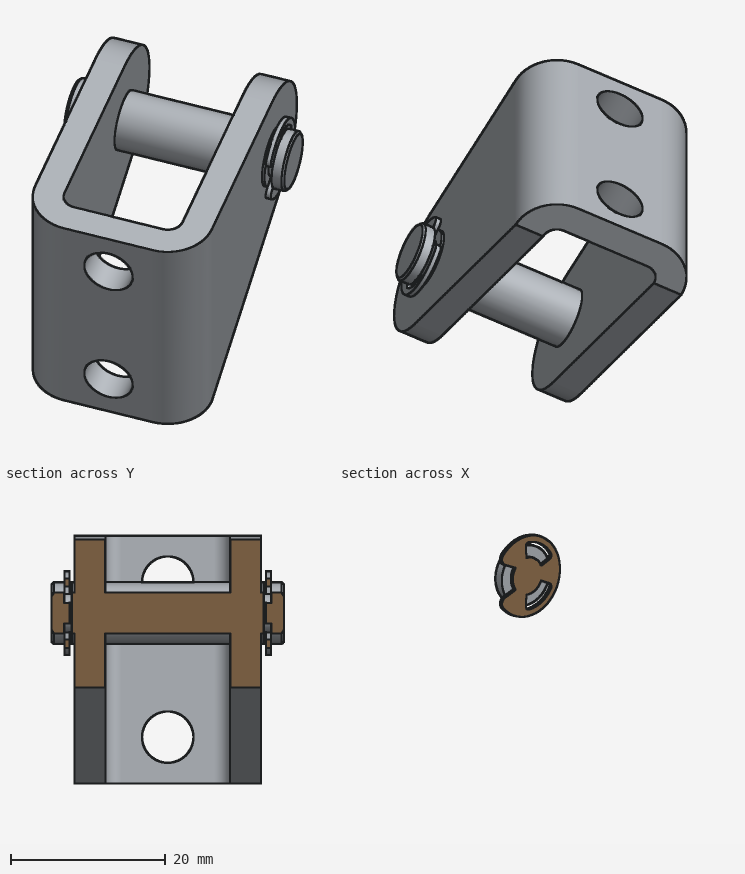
import cadquery as cq
import math

BRACKET_WIDTH = 24.1
BRACKET_LENGTH = 40.0
BRACKET_HEIGHT = 32.0
PLATE_THICKNESS = 4.0
OUTER_BEND_RADIUS = 6.0
INNER_BEND_RADIUS = OUTER_BEND_RADIUS - PLATE_THICKNESS
EAR_RADIUS = 10.0

MOUNTING_HOLE_DIAMETER = 6.6
MOUNTING_HOLE_EDGE_DISTANCE = 6.0

PIN_DIAMETER = 8.0
PIN_LENGTH = 30.0
PIN_CHAMFER = 0.3
PIN_Y = BRACKET_LENGTH - EAR_RADIUS
PIN_Z = BRACKET_HEIGHT - EAR_RADIUS

GROOVE_DIAMETER = 5.0
GROOVE_WIDTH = 0.95
GROOVE_END_DISTANCE = 1.65

CLIP_OUTER_RADIUS = 5.42
CLIP_THICKNESS = 0.7
CLIP_OPENING_INNER_HALF_ANGLE = 35.5
CLIP_OPENING_OUTER_HALF_ANGLE = 28.5
CLIP_TIP_RADIUS = 0.9
CLIP_RELIEF_RADIUS = 4.5
CLIP_RELIEF_CORNER_RADIUS = 0.5
CLIP_RELIEF_CENTER_ANGLE = 59.0
CLIP_RELIEF_HALF_ANGLE = 34.5


def polar(radius, angle):
    """Point at a radius and an angle in degrees about the local origin."""
    radians = math.radians(angle)
    return (radius * math.cos(radians), radius * math.sin(radians))


def side_plane(x, y, z):
    """Plane facing +X, with local axes along Y and Z."""
    return cq.Workplane("YZ", origin=(x, y, z))


def make_channel():
    """U-shaped channel with rounded bends, at full height."""
    outer = (
        cq.Workplane("XY")
        .rect(BRACKET_WIDTH, BRACKET_LENGTH)
        .extrude(BRACKET_HEIGHT)
        .translate((0, BRACKET_LENGTH / 2, 0))
        .edges("|Z and <Y")
        .fillet(OUTER_BEND_RADIUS)
    )
    inner = (
        cq.Workplane("XY")
        .rect(BRACKET_WIDTH - 2 * PLATE_THICKNESS, BRACKET_LENGTH)
        .extrude(BRACKET_HEIGHT)
        .translate((0, BRACKET_LENGTH / 2 + PLATE_THICKNESS, 0))
        .edges("|Z and <Y")
        .fillet(INNER_BEND_RADIUS)
    )
    return outer.cut(inner)


def make_side_profile():
    """Solid of the side outline: round ear end and a sloped underside tangent to it."""
    slope_start_y = OUTER_BEND_RADIUS
    run = PIN_Y - slope_start_y
    slope = math.atan2(PIN_Z, run) - math.asin(EAR_RADIUS / math.hypot(run, PIN_Z))
    tangent_point = (
        PIN_Y + EAR_RADIUS * math.sin(slope),
        PIN_Z - EAR_RADIUS * math.cos(slope),
    )
    return (
        side_plane(-BRACKET_WIDTH / 2, 0, 0)
        .moveTo(0, 0)
        .lineTo(slope_start_y, 0)
        .lineTo(*tangent_point)
        .threePointArc((BRACKET_LENGTH, PIN_Z), (PIN_Y, BRACKET_HEIGHT))
        .lineTo(0, BRACKET_HEIGHT)
        .close()
        .extrude(BRACKET_WIDTH)
    )


def make_mounting_holes():
    """Cutters for the two holes through the web, on its centerline."""
    low_z = MOUNTING_HOLE_EDGE_DISTANCE
    high_z = BRACKET_HEIGHT - MOUNTING_HOLE_EDGE_DISTANCE
    return (
        cq.Workplane("XZ")
        .pushPoints([(0, low_z), (0, high_z)])
        .circle(MOUNTING_HOLE_DIAMETER / 2)
        .extrude(-PLATE_THICKNESS)
    )


def make_pin():
    """Pin along X with chamfered ends and a groove near each end."""
    pin = (
        side_plane(-PIN_LENGTH / 2, PIN_Y, PIN_Z)
        .circle(PIN_DIAMETER / 2)
        .extrude(PIN_LENGTH)
        .faces("<X or >X")
        .chamfer(PIN_CHAMFER)
    )
    groove = (
        side_plane(-PIN_LENGTH / 2 + GROOVE_END_DISTANCE, PIN_Y, PIN_Z)
        .circle(PIN_DIAMETER / 2)
        .circle(GROOVE_DIAMETER / 2)
        .extrude(GROOVE_WIDTH)
    )
    return pin.cut(groove).cut(groove.mirror("YZ"))


def make_clip_relief(plane, center_angle):
    """Sector-shaped cutter for one pocket between two prongs that grip the pin."""
    sector = (
        plane.lineTo(*polar(CLIP_RELIEF_RADIUS, -CLIP_RELIEF_HALF_ANGLE))
        .threePointArc((CLIP_RELIEF_RADIUS, 0), polar(CLIP_RELIEF_RADIUS, CLIP_RELIEF_HALF_ANGLE))
        .close()
        .extrude(CLIP_THICKNESS)
        .edges("|X")
        .edges(">Y")
        .fillet(CLIP_RELIEF_CORNER_RADIUS)
    )
    return sector.rotate((0, PIN_Y, PIN_Z), (1, PIN_Y, PIN_Z), center_angle)


def make_clip():
    """E-clip on the -X end of the pin, with its opening toward -Y."""
    plane = side_plane(-PIN_LENGTH / 2 + GROOVE_END_DISTANCE, PIN_Y, PIN_Z)
    inner_radius = GROOVE_DIAMETER / 2
    inner_angle = 180 - CLIP_OPENING_INNER_HALF_ANGLE
    outer_angle = 180 - CLIP_OPENING_OUTER_HALF_ANGLE
    clip = (
        plane.moveTo(*polar(inner_radius, inner_angle))
        .lineTo(*polar(CLIP_OUTER_RADIUS, outer_angle))
        .threePointArc((CLIP_OUTER_RADIUS, 0), polar(CLIP_OUTER_RADIUS, -outer_angle))
        .lineTo(*polar(inner_radius, -inner_angle))
        .threePointArc((inner_radius, 0), polar(inner_radius, inner_angle))
        .close()
        .extrude(CLIP_THICKNESS)
    )
    clip = clip.edges("|X").edges("<Y").fillet(CLIP_TIP_RADIUS)
    for center_angle in (CLIP_RELIEF_CENTER_ANGLE, -CLIP_RELIEF_CENTER_ANGLE):
        clip = clip.cut(make_clip_relief(plane, center_angle))
    return clip


bracket = make_channel().intersect(make_side_profile()).cut(make_mounting_holes())
clip = make_clip()
result = bracket.union(make_pin()).union(clip).union(clip.mirror("YZ"))